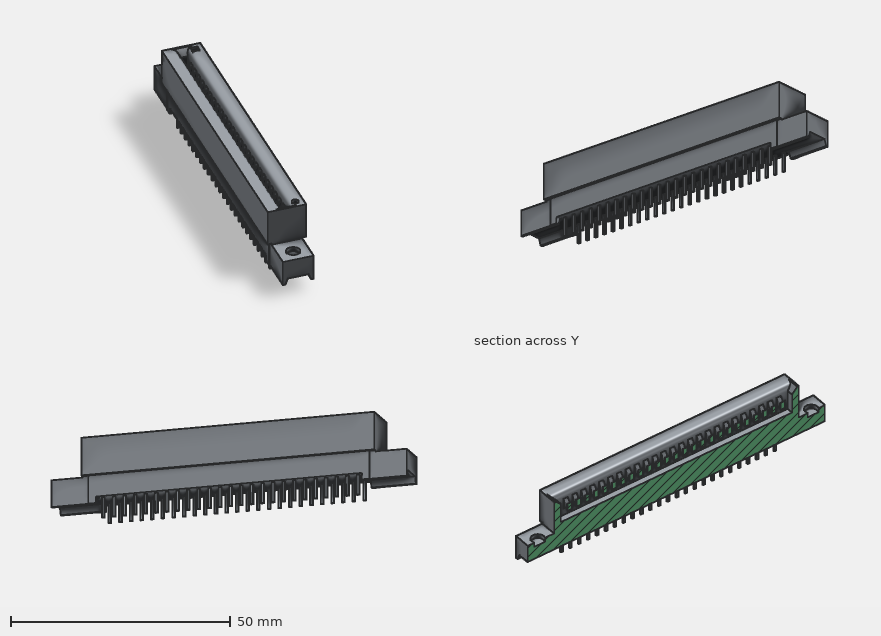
import cadquery as cq
import math

total_length = 85.0
total_height = 18.7

foot_z = 3.15
recess_z = 4.7
ear_top_z = 9.5
head_bottom_z = 9.8

head_length = 70.0
head_width = 9.35
base_length = 67.3
base_width = 7.8
ear_width = 7.5

recess_length = 63.7
recess_fillet = 0.4
channel_mouth_width = 6.3
channel_roof_width = 5.1

ear_hole_spacing = 78.2
ear_hole_diameter = 3.3
ear_hole_depth = 1.2

slot_width = 1.9
slot_depth = 6.8
mouth_radius = 1.5
mouth_length = 69.1
mouth_width = slot_width + 2 * mouth_radius
slot_length = mouth_length - 2 * mouth_radius

contact_count = 25
contact_span = 60.9
contact_pitch = contact_span / (contact_count - 1)
contact_width = 1.3
contact_radius = 1.95
contact_bulge = 0.6
contact_depth = 3.5
contact_embed = 0.4
pin_width = 0.6
pin_thickness = 0.4
pin_row_spacing = 4.85
pin_embed = 0.85

mark_spacing = 66.1
mark_y = 2.7
mark_size = 1.7
mark_depth = 1.0

contact_xs = [i * contact_pitch - contact_span / 2 for i in range(contact_count)]


def block(length, width, bottom, top):
    """Box centred on X and Y, between two levels."""
    return (
        cq.Workplane("XY", origin=(0, 0, bottom))
        .box(length, width, top - bottom, centered=(True, True, False))
    )


def extrude_along_x(profile, length):
    """Extrude a YZ profile symmetrically about X = 0."""
    return profile.extrude(length / 2, both=True)


def make_body():
    head = block(head_length, head_width, head_bottom_z, total_height)
    base = block(base_length, base_width, foot_z, head_bottom_z)
    ears = block(total_length, ear_width, foot_z, ear_top_z)
    ear_roots = block(head_length, ear_width, ear_top_z, head_bottom_z)
    return head.union(base).union(ears).union(ear_roots)


def make_recess():
    """Full-width recess with rounded upper corners around the pins."""
    recess = block(recess_length, head_width, foot_z, recess_z)
    return recess.edges("|Y and >Z").fillet(recess_fillet)


def make_channel():
    """Trapezoidal channel open at the bottom, narrower at its roof."""
    profile = cq.Workplane("YZ").polyline([
        (-channel_mouth_width / 2, foot_z),
        (channel_mouth_width / 2, foot_z),
        (channel_roof_width / 2, recess_z),
        (-channel_roof_width / 2, recess_z),
    ]).close()
    return extrude_along_x(profile, total_length)


def make_ear_holes():
    return (
        cq.Workplane("XY", origin=(0, 0, ear_top_z))
        .pushPoints([(-ear_hole_spacing / 2, 0), (ear_hole_spacing / 2, 0)])
        .circle(ear_hole_diameter / 2)
        .extrude(-ear_hole_depth)
    )


def make_slot_mouth():
    """Lead-in with convex rounded long sides and sloping end faces."""
    throat_z = total_height - mouth_radius
    arc_drop = mouth_radius * (1 - math.cos(math.pi / 4))
    mid_y = slot_width / 2 + arc_drop
    mid_z = total_height - arc_drop
    flare = (
        cq.Workplane("YZ")
        .moveTo(-mouth_width / 2, total_height)
        .threePointArc((-mid_y, mid_z), (-slot_width / 2, throat_z))
        .lineTo(slot_width / 2, throat_z)
        .threePointArc((mid_y, mid_z), (mouth_width / 2, total_height))
        .close()
    )
    end_slopes = (
        cq.Workplane("XZ")
        .polyline([
            (-mouth_length / 2, total_height),
            (-slot_length / 2, throat_z),
            (slot_length / 2, throat_z),
            (mouth_length / 2, total_height),
        ])
        .close()
        .extrude(mouth_width, both=True)
    )
    return extrude_along_x(flare, mouth_length).intersect(end_slopes)


def make_contacts():
    """Bowed springs standing out of both slot walls; all positions in both rows."""
    wall_y = slot_width / 2
    root_y = wall_y + contact_embed
    crest_y = wall_y - contact_bulge
    half_height = math.sqrt(contact_radius ** 2 - (contact_radius - contact_bulge) ** 2)
    crest_z = total_height - contact_depth
    bow = (
        cq.Workplane("YZ")
        .moveTo(wall_y, crest_z + half_height)
        .threePointArc((crest_y, crest_z), (wall_y, crest_z - half_height))
        .lineTo(root_y, crest_z - half_height)
        .lineTo(root_y, crest_z + half_height)
        .close()
        .extrude(contact_width / 2, both=True)
    )
    contacts = cq.Workplane("XY")
    pair = bow.union(bow.mirror("XZ"))
    for x in contact_xs:
        contacts = contacts.add(pair.translate((x, 0, 0)))
    return contacts.combine()


def make_slot():
    slot = block(slot_length, slot_width, total_height - slot_depth, total_height)
    return slot.union(make_slot_mouth())


def make_marks():
    """Square mark at the first position, round mark at the last."""
    top = cq.Workplane("XY", origin=(0, mark_y, total_height))
    square_mark = top.center(-mark_spacing / 2, 0).rect(mark_size, mark_size).extrude(-mark_depth)
    round_mark = top.center(mark_spacing / 2, 0).circle(mark_size / 2).extrude(-mark_depth)
    return square_mark.union(round_mark)


def make_pins():
    places = [(x, side * pin_row_spacing / 2) for x in contact_xs for side in (-1, 1)]
    return (
        cq.Workplane("XY")
        .pushPoints(places)
        .rect(pin_width, pin_thickness)
        .extrude(recess_z + pin_embed)
    )


body = make_body()
for cutter in (make_recess(), make_channel(), make_ear_holes(), make_slot(), make_marks()):
    body = body.cut(cutter)

result = body.union(make_contacts()).union(make_pins())